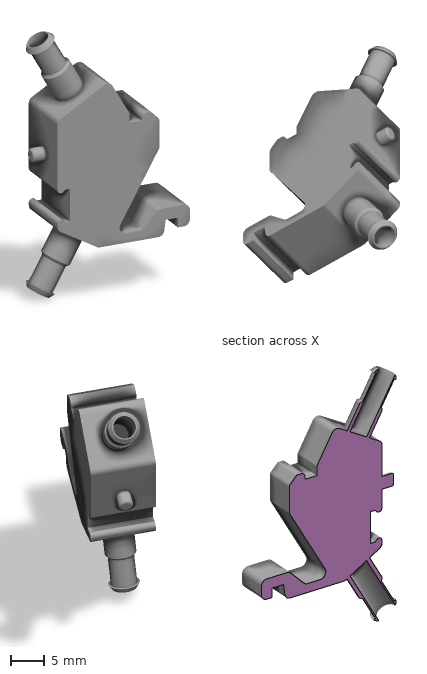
import cadquery as cq
import math

WIDTH = 10.0
SLOPE = math.radians(30)

FACE_START = 8.8
BODY_BOTTOM = -12.72
CORNER_RADIUS = 1.0

BACK = 16.98
SHOULDER = 11.95
SHOULDER_TOP = 8.13
CATCH_FLOOR = 6.55
CATCH_TOP = 7.7
CATCH_INNER = 14.05
CATCH_CHAMFER = 1.4
CATCH_EDGE_RADIUS = 0.35
CATCH_RADIUS = 0.75
BACK_BOTTOM = 1.65

FOOT_FLOOR = -11.15
FOOT_BEND = 14.0
HOOK_TOP = -8.2
HOOK_END = 22.05
HOOK_TIP = -11.7
HOOK_GROOVE_OUTER = 20.05
HOOK_GROOVE_INNER = 18.0
HOOK_GROOVE_TOP = -10.13
HEEL = 17.65
HOOK_RADIUS = 1.0

SLOT_CENTER = -5.05
SLOT_HALF_HEIGHT = 2.65
SLOT_DEPTH = 2.1
LIP_HEIGHT = 0.45
LIP_THICKNESS = 0.85
LIP_RADIUS = 0.6

PIN_DIAMETER = 2.2
PIN_LENGTH = 2.13
PIN_HEIGHT = 1.87
PIN_ROUND = 0.4

NOZZLE_CENTER_Y = 4.35
BASE_DIAMETER = 4.8
NECK_DIAMETER = 4.0
TIP_DIAMETER = 3.75
BORE_DIAMETER = 3.4
BASE_LENGTH = 4.6
BARB_START = 9.6
NOZZLE_LENGTH = 10.42
EMBED = 0.43


def slope_height(y):
    """Height of the upper sloped face at depth y."""
    return FACE_START + y * math.tan(SLOPE)


def make_body():
    steepness = 1 / math.tan(SLOPE)
    apex_y = (SHOULDER_TOP + SHOULDER * steepness - FACE_START) / (steepness + math.tan(SLOPE))
    apex = (apex_y, slope_height(apex_y))
    notch = (BACK - (BACK_BOTTOM - FOOT_FLOOR) * math.tan(SLOPE), FOOT_FLOOR)
    foot_bend = (FOOT_BEND, FOOT_FLOOR)
    hook_bend = (FOOT_BEND + HOOK_TOP - FOOT_FLOOR, HOOK_TOP)
    hook_top = (HOOK_END, HOOK_TOP)
    hook_tip = (HOOK_END, HOOK_TIP)
    heel = (HEEL, BODY_BOTTOM)
    belly = ((-BODY_BOTTOM - FACE_START) / math.tan(SLOPE), BODY_BOTTOM)
    front_top = (0, FACE_START)
    front_bottom = (0, -FACE_START)
    catch_inner = (CATCH_INNER, CATCH_TOP)
    catch_outer = (BACK - CATCH_CHAMFER, CATCH_TOP)
    catch_back = (BACK, CATCH_TOP - CATCH_CHAMFER)
    slot_top = SLOT_CENTER + SLOT_HALF_HEIGHT
    slot_bottom = SLOT_CENTER - SLOT_HALF_HEIGHT
    lip_top = (0, slot_top - LIP_HEIGHT)
    lip_bottom = (0, slot_bottom + LIP_HEIGHT)

    outline = [
        front_top,
        apex,
        (SHOULDER, SHOULDER_TOP),
        (SHOULDER, CATCH_FLOOR),
        (CATCH_INNER, CATCH_FLOOR),
        catch_inner,
        catch_outer,
        catch_back,
        (BACK, BACK_BOTTOM),
        notch,
        foot_bend,
        hook_bend,
        hook_top,
        hook_tip,
        (HOOK_GROOVE_OUTER, HOOK_TIP),
        (HOOK_GROOVE_OUTER, HOOK_GROOVE_TOP),
        (HOOK_GROOVE_INNER, HOOK_GROOVE_TOP),
        heel,
        belly,
        front_bottom,
        lip_bottom,
        (LIP_THICKNESS, slot_bottom + LIP_HEIGHT),
        (LIP_THICKNESS + LIP_HEIGHT, slot_bottom),
        (SLOT_DEPTH, slot_bottom),
        (SLOT_DEPTH, slot_top),
        (LIP_THICKNESS + LIP_HEIGHT, slot_top),
        (LIP_THICKNESS, slot_top - LIP_HEIGHT),
        lip_top,
    ]
    body = cq.Workplane("YZ").polyline(outline).close().extrude(WIDTH / 2, both=True)

    rounded_corners = [
        (CORNER_RADIUS, [front_top, apex, notch, foot_bend, hook_bend, belly, front_bottom]),
        (HOOK_RADIUS, [hook_top, hook_tip, heel]),
        (CATCH_RADIUS, [catch_inner, catch_back]),
        (CATCH_EDGE_RADIUS, [catch_outer]),
        (LIP_RADIUS, [lip_top, lip_bottom]),
    ]
    for radius, corners in rounded_corners:
        for y, z in corners:
            corner_edge = cq.selectors.NearestToPointSelector((0, y, z))
            body = body.edges("|X").edges(corner_edge).fillet(radius)
    return body


def make_pin():
    pin = cq.Workplane("XZ", origin=(0, EMBED, PIN_HEIGHT))
    pin = pin.circle(PIN_DIAMETER / 2).extrude(PIN_LENGTH + EMBED)
    return pin.faces("<Y").edges().fillet(PIN_ROUND)


def make_nozzle():
    """Upper nozzle: a hollow turned tube standing square on the sloped face."""
    base = BASE_DIAMETER / 2
    neck = NECK_DIAMETER / 2
    bore = BORE_DIAMETER / 2
    profile = [
        (0, -EMBED),
        (base, -EMBED),
        (base, BASE_LENGTH),
        (neck, BASE_LENGTH + base - neck),
        (neck, BARB_START),
        (base, BARB_START),
        (TIP_DIAMETER / 2, NOZZLE_LENGTH),
        (bore, NOZZLE_LENGTH),
        (bore, 0),
        (0, 0),
    ]
    nozzle = cq.Workplane("XZ").polyline(profile).close().revolve(360, (0, 0), (0, 1))
    nozzle = nozzle.rotate((0, 0, 0), (1, 0, 0), math.degrees(SLOPE))
    return nozzle.translate((0, NOZZLE_CENTER_Y, slope_height(NOZZLE_CENTER_Y)))


upper_nozzle = make_nozzle()
lower_nozzle = upper_nozzle.mirror("XY")
result = make_body().union(make_pin()).union(upper_nozzle).union(lower_nozzle)